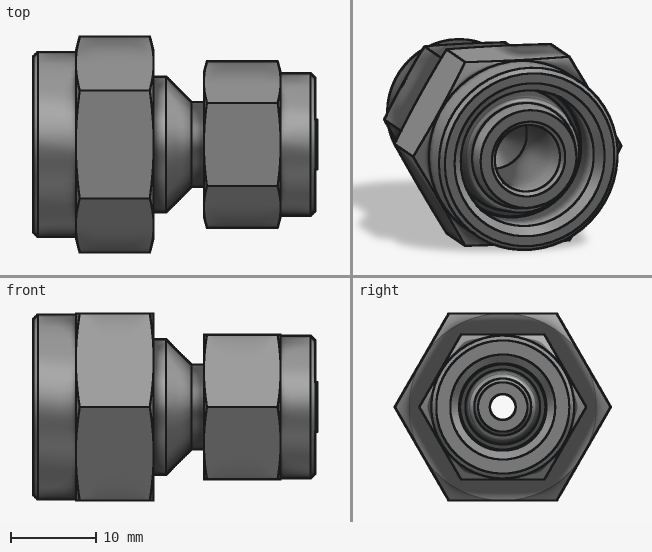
import cadquery as cq
import math


LARGE_NUT_FACE = 0.0
OVERALL_LENGTH = 33.4
SMALL_STUB_PROTRUSION = 0.25
SMALL_NUT_FACE = OVERALL_LENGTH - SMALL_STUB_PROTRUSION
LARGE_STUB_RECESS = 0.47
LARGE_TIP = LARGE_NUT_FACE + LARGE_STUB_RECESS
SMALL_TIP = OVERALL_LENGTH

LARGE_HEX_FLATS = 22.0
LARGE_COLLAR_LENGTH = 5.0
LARGE_HEX_LENGTH = 9.15
SMALL_HEX_FLATS = 17.0
SMALL_COLLAR_LENGTH = 4.07
SMALL_HEX_LENGTH = 9.02
COLLAR_STEP = 0.1
COLLAR_CHAMFER = 0.57
HEX_CHAMFER_ANGLE = 15.0
MOUTH_CHAMFER = 1.05
BORE_CLEARANCE = 0.15

LARGE_THREAD_RADIUS = 7.98
SMALL_THREAD_RADIUS = 5.0
TAPER_START = 15.63
TAPER_END = TAPER_START + LARGE_THREAD_RADIUS - SMALL_THREAD_RADIUS

LARGE_STUB_RADIUS = 5.85
SMALL_STUB_RADIUS = 2.9
STUB_LENGTH = 2.07
NOSE_LENGTH = 4.0
NOSE_ROUND = 0.57
NOSE_HALF_ANGLE = 8.0
SHOULDER_WIDTH = 0.6

LARGE_BORE_RADIUS = 3.97
LARGE_BORE_CHAMFER = 0.5
PASSAGE_RADIUS = 1.5
BORE_CONE_HALF_ANGLE = 59.0


def revolve_about_axis(profile):
    return profile.close().revolve(360, (0, 0, 0), (1, 0, 0))


def body_end(stub_radius, thread_radius, tip, inward, length):
    """Stub, rounded conical nose and threaded part, from the tip in the inward direction (+1 or -1)."""
    half_angle = math.radians(NOSE_HALF_ANGLE)
    nose_start = tip + inward * STUB_LENGTH
    shoulder = nose_start + inward * NOSE_LENGTH
    nose_base_radius = thread_radius - SHOULDER_WIDTH

    round_end_angle = math.pi / 2 - half_angle
    cone_length = NOSE_LENGTH - NOSE_ROUND * (1 - math.cos(round_end_angle))
    round_end_radius = nose_base_radius - cone_length * math.tan(half_angle)
    round_centre_radius = round_end_radius - NOSE_ROUND * math.sin(round_end_angle)

    def round_point(angle):
        """Point of the nose round, at an angle from the axis."""
        return (
            nose_start + inward * NOSE_ROUND * (1 - math.cos(angle)),
            round_centre_radius + NOSE_ROUND * math.sin(angle),
        )

    return revolve_about_axis(
        cq.Workplane("XY")
        .moveTo(tip, 0)
        .lineTo(tip, stub_radius)
        .lineTo(*round_point(0))
        .threePointArc(round_point(round_end_angle / 2), round_point(round_end_angle))
        .lineTo(shoulder, nose_base_radius)
        .lineTo(shoulder, thread_radius)
        .lineTo(tip + inward * length, thread_radius)
        .lineTo(tip + inward * length, 0)
    )


def make_passage():
    """Chamfered large bore with a conical bottom, leading into the small through hole."""
    cone_length = (LARGE_BORE_RADIUS - PASSAGE_RADIUS) / math.tan(math.radians(BORE_CONE_HALF_ANGLE))
    return revolve_about_axis(
        cq.Workplane("XY")
        .moveTo(LARGE_TIP, 0)
        .lineTo(LARGE_TIP, LARGE_BORE_RADIUS + LARGE_BORE_CHAMFER)
        .lineTo(LARGE_TIP + LARGE_BORE_CHAMFER, LARGE_BORE_RADIUS)
        .lineTo(TAPER_START, LARGE_BORE_RADIUS)
        .lineTo(TAPER_START + cone_length, PASSAGE_RADIUS)
        .lineTo(SMALL_TIP, PASSAGE_RADIUS)
        .lineTo(SMALL_TIP, 0)
    )


def make_body():
    large_end = body_end(LARGE_STUB_RADIUS, LARGE_THREAD_RADIUS, LARGE_TIP, 1, TAPER_START - LARGE_TIP)
    small_end = body_end(SMALL_STUB_RADIUS, SMALL_THREAD_RADIUS, SMALL_TIP, -1, SMALL_TIP - TAPER_END)
    taper = revolve_about_axis(
        cq.Workplane("XY")
        .moveTo(TAPER_START, 0)
        .lineTo(TAPER_START, LARGE_THREAD_RADIUS)
        .lineTo(TAPER_END, SMALL_THREAD_RADIUS)
        .lineTo(TAPER_END, 0)
    )
    return large_end.union(taper).union(small_end).cut(make_passage())


def make_nut(flats, collar_length, hex_length, thread_radius, face, inward, shoulder):
    """Nut with a round collar at its face and a hexagon behind it, going inward (+1 or -1)."""
    inscribed_radius = flats / 2
    corner_radius = inscribed_radius / math.cos(math.pi / 6)
    collar_radius = inscribed_radius - COLLAR_STEP
    corner_chamfer = (corner_radius - inscribed_radius) * math.tan(math.radians(HEX_CHAMFER_ANGLE))
    hex_start = face + inward * collar_length
    back = hex_start + inward * hex_length

    envelope = revolve_about_axis(
        cq.Workplane("XY")
        .moveTo(face, 0)
        .lineTo(face, collar_radius - COLLAR_CHAMFER)
        .lineTo(face + inward * COLLAR_CHAMFER, collar_radius)
        .lineTo(hex_start, collar_radius)
        .lineTo(hex_start, inscribed_radius)
        .lineTo(hex_start + inward * corner_chamfer, corner_radius)
        .lineTo(back - inward * corner_chamfer, corner_radius)
        .lineTo(back, inscribed_radius)
        .lineTo(back, 0)
    )
    hexagon = (
        cq.Workplane("YZ", origin=(face, 0, 0))
        .polygon(6, 2 * corner_radius)
        .extrude(back - face)
    )
    bore_radius = thread_radius + BORE_CLEARANCE
    bore = revolve_about_axis(
        cq.Workplane("XY")
        .moveTo(face, 0)
        .lineTo(face, bore_radius + MOUTH_CHAMFER)
        .lineTo(face + inward * MOUTH_CHAMFER, bore_radius)
        .lineTo(shoulder, bore_radius)
        .lineTo(shoulder, thread_radius)
        .lineTo(back, thread_radius)
        .lineTo(back, 0)
    )
    return envelope.intersect(hexagon).cut(bore)


shoulder_depth = STUB_LENGTH + NOSE_LENGTH

body = make_body()
large_nut = make_nut(
    LARGE_HEX_FLATS, LARGE_COLLAR_LENGTH, LARGE_HEX_LENGTH, LARGE_THREAD_RADIUS,
    LARGE_NUT_FACE, 1, LARGE_TIP + shoulder_depth,
)
small_nut = make_nut(
    SMALL_HEX_FLATS, SMALL_COLLAR_LENGTH, SMALL_HEX_LENGTH, SMALL_THREAD_RADIUS,
    SMALL_NUT_FACE, -1, SMALL_TIP - shoulder_depth,
)

result = cq.Compound.makeCompound([body.val(), large_nut.val(), small_nut.val()])